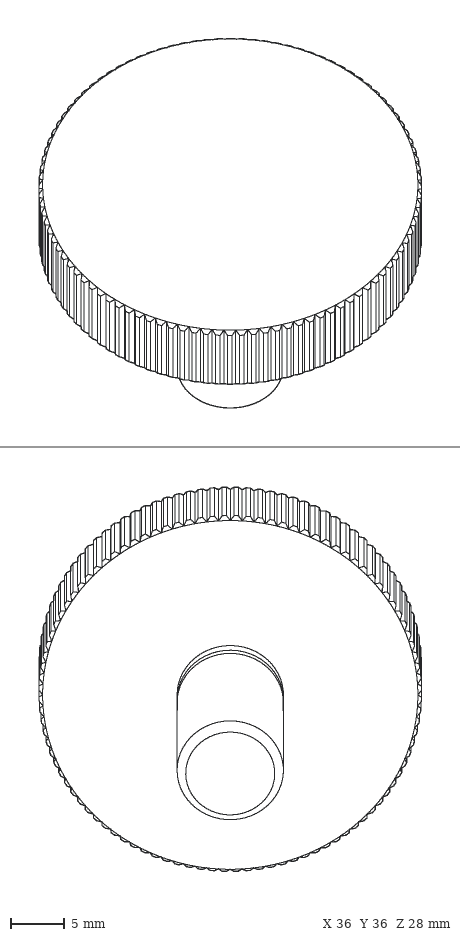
import cadquery as cq
import math

HEAD_DIAMETER = 36.0
HEAD_HEIGHT = 8.0
HEAD_RADIUS = HEAD_DIAMETER / 2

GROOVE_COUNT = 100
GROOVE_DEPTH = 0.36
GROOVE_ANGLE = 90.0
GROOVE_OVERCUT = 0.1

RIM_CHAMFER = GROOVE_DEPTH

SHANK_DIAMETER = 10.0
SHANK_CORE_DIAMETER = 8.376
SHANK_LENGTH = 20.0
COLLAR_LENGTH = 2.0
SHANK_RADIUS = SHANK_DIAMETER / 2
SHANK_CORE_RADIUS = SHANK_CORE_DIAMETER / 2
SHANK_CHAMFER = SHANK_RADIUS - SHANK_CORE_RADIUS


def make_head():
    disc = cq.Workplane("XY").circle(HEAD_RADIUS).extrude(HEAD_HEIGHT)
    return disc.edges("%CIRCLE").chamfer(RIM_CHAMFER)


def make_knurl_grooves():
    """All V grooves of the knurl, as one set of cutting prisms."""
    root_radius = HEAD_RADIUS - GROOVE_DEPTH
    mouth_radius = HEAD_RADIUS + GROOVE_OVERCUT
    mouth_half_width = (mouth_radius - root_radius) * math.tan(math.radians(GROOVE_ANGLE / 2))
    groove_profile = [
        (root_radius, 0),
        (mouth_radius, mouth_half_width),
        (mouth_radius, -mouth_half_width),
    ]
    groove = cq.Workplane("XY").polyline(groove_profile).close().extrude(HEAD_HEIGHT).val()
    axis_start = cq.Vector(0, 0, 0)
    axis_end = cq.Vector(0, 0, 1)
    pitch_angle = 360 / GROOVE_COUNT
    grooves = [groove.rotate(axis_start, axis_end, i * pitch_angle) for i in range(GROOVE_COUNT)]
    return cq.Workplane(obj=cq.Compound.makeCompound(grooves))


def make_shank():
    """Half profile of the collar, relief and pin, revolved about Z."""
    profile = [
        (0, 0),
        (SHANK_RADIUS, 0),
        (SHANK_RADIUS, -COLLAR_LENGTH + SHANK_CHAMFER),
        (SHANK_CORE_RADIUS, -COLLAR_LENGTH),
        (SHANK_RADIUS, -COLLAR_LENGTH),
        (SHANK_RADIUS, -SHANK_LENGTH + SHANK_CHAMFER),
        (SHANK_CORE_RADIUS, -SHANK_LENGTH),
        (0, -SHANK_LENGTH),
    ]
    return cq.Workplane("XZ").polyline(profile).close().revolve(360, (0, 0), (0, 1))


result = make_head().cut(make_knurl_grooves()).union(make_shank())